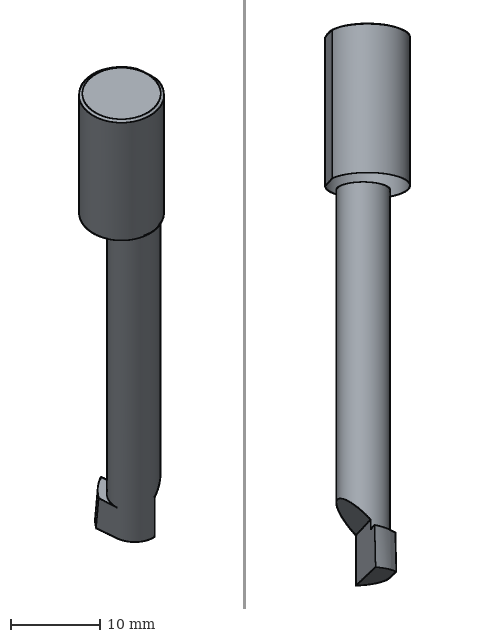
import cadquery as cq

total_length = 63.5
shank_radius = 4.75
shank_length = 17.65
shank_flat_y = 4.5
chamfer_width = 0.4
chamfer_height = 0.2

neck_radius = 3.015
neck_x = shank_radius - neck_radius

rake_height = 6.2

tip_height = 5.1
tip_reach = -3.335
relief_x, relief_y = -2.1, -2.15
relief_bulge = 0.1
heel_x = -1.3
side_lean = 0.41

end_slope_x = 0.04
end_slope_y = 0.1


def make_shank():
    shank_bottom = total_length - shank_length
    profile = (
        cq.Workplane("XZ")
        .moveTo(0, shank_bottom)
        .lineTo(shank_radius, shank_bottom)
        .lineTo(shank_radius, total_length - chamfer_height)
        .lineTo(shank_radius - chamfer_width, total_length)
        .lineTo(0, total_length)
        .close()
    )
    shank = profile.revolve(360, (0, 0, 0), (0, 1, 0))
    beyond_flat = cq.Workplane("XY").box(
        2 * shank_radius, shank_radius, total_length, centered=(True, False, False)
    )
    return shank.cut(beyond_flat.translate((0, shank_flat_y, 0)))


def make_neck():
    neck_length = total_length - shank_length
    neck = cq.Workplane("XY").center(neck_x, 0).circle(neck_radius).extrude(neck_length)
    relief_depth = 2 * neck_radius
    rake_cut = (
        cq.Workplane("YZ")
        .polyline([
            (0, 0),
            (relief_depth, 0),
            (relief_depth, rake_height + relief_depth),
            (0, rake_height),
        ])
        .close()
        .extrude(2 * shank_radius, both=True)
    )
    return neck.cut(rake_cut)


def tip_section(shift, height):
    """Closed tip outline at one height, with its cutting side shifted along X."""
    corner = cq.Vector(tip_reach + shift, 0, height)
    relief = cq.Vector(relief_x + shift, relief_y, height)
    heel = cq.Vector(heel_x + shift, -neck_radius, height)
    neck_side = cq.Vector(neck_x, -neck_radius, height)
    neck_center = cq.Vector(neck_x, 0, height)

    chord = relief - corner
    outward = cq.Vector(chord.y, -chord.x, 0).normalized()
    flank_middle = (corner + relief) * 0.5 + outward * relief_bulge
    return cq.Wire.assembleEdges([
        cq.Edge.makeThreePointArc(corner, flank_middle, relief),
        cq.Edge.makeLine(relief, heel),
        cq.Edge.makeLine(heel, neck_side),
        cq.Edge.makeLine(neck_side, neck_center),
        cq.Edge.makeLine(neck_center, corner),
    ])


def make_tip():
    sections = [tip_section(0, 0), tip_section(side_lean, tip_height)]
    return cq.Workplane(cq.Solid.makeLoft(sections, True))


def make_end_cutter():
    """Block below the sloping end face, which passes through the cutting corner."""
    size = 4 * shank_radius
    end_face = cq.Plane(
        origin=(tip_reach, 0, 0),
        xDir=(1, 0, end_slope_x),
        normal=(-end_slope_x, end_slope_y, 1),
    )
    return cq.Workplane(end_face).rect(size, size).extrude(-size)


result = make_shank().union(make_neck()).union(make_tip()).cut(make_end_cutter())